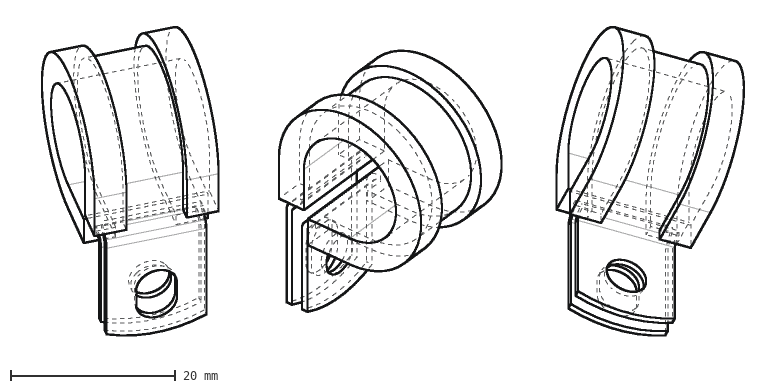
import cadquery as cq
import math

outer_radius = 11.0
bore_radius = 7.12
cushion_width = 15.75
bottom_leg_end_x = 6.53
side_leg_end_z = -6.08
groove_width = 7.65

strap_thickness = 0.85
strap_width = 12.65
strap_outer_radius = 9.5
strap_mid_radius = strap_outer_radius - strap_thickness / 2

total_height = 34.75
tab_bottom_z = outer_radius - total_height
near_tab_x = 8.25
far_tab_x = outer_radius - strap_thickness / 2
tab_end_sagitta = 1.32
hole_diameter = 5.15
far_slot_length = 7.5
hole_z = -17.45

corner_bend_radius = 1.25
jog_bend_radius = 1.0
jog_angle = math.radians(45)


def loop_solid(outer, inner, width):
    """C-shaped band centred on Y, with one leg along +X and one along -Z."""
    diagonal = math.sqrt(0.5)
    outline = (
        cq.Workplane("XZ")
        .moveTo(bottom_leg_end_x, -outer)
        .lineTo(0, -outer)
        .threePointArc((-outer * diagonal, outer * diagonal), (outer, 0))
        .lineTo(outer, side_leg_end_z)
        .lineTo(inner, side_leg_end_z)
        .lineTo(inner, 0)
        .threePointArc((-inner * diagonal, inner * diagonal), (0, -inner))
        .lineTo(bottom_leg_end_x, -inner)
        .close()
    )
    return outline.extrude(width / 2, both=True)


def make_cushion():
    body = loop_solid(outer_radius, bore_radius, cushion_width)
    groove = loop_solid(outer_radius, strap_outer_radius, groove_width)
    return body.cut(groove)


def make_strap():
    """Sweep the flat strap section up the near tab, round the loop and down the far tab."""
    bend_shift = jog_bend_radius * (1 - math.cos(jog_angle))
    bend_drop = jog_bend_radius * math.sin(jog_angle)
    straight_shift = far_tab_x - strap_mid_radius - 2 * bend_shift
    straight_drop = straight_shift / math.tan(jog_angle)
    straight_start = (strap_mid_radius + bend_shift, side_leg_end_z - bend_drop)
    straight_end = (far_tab_x - bend_shift, straight_start[1] - straight_drop)
    jog_end = (far_tab_x, straight_end[1] - bend_drop)

    centreline = (
        cq.Workplane("XZ")
        .moveTo(near_tab_x, tab_bottom_z)
        .lineTo(near_tab_x, -strap_mid_radius - corner_bend_radius)
        .tangentArcPoint((near_tab_x - corner_bend_radius, -strap_mid_radius), relative=False)
        .lineTo(0, -strap_mid_radius)
        .tangentArcPoint((strap_mid_radius, 0), relative=False)
        .lineTo(strap_mid_radius, side_leg_end_z)
        .tangentArcPoint(straight_start, relative=False)
        .lineTo(*straight_end)
        .tangentArcPoint(jog_end, relative=False)
        .lineTo(far_tab_x, tab_bottom_z)
    )
    section = cq.Workplane("XY", origin=(near_tab_x, 0, tab_bottom_z)).rect(strap_thickness, strap_width)
    return section.sweep(centreline)


def trim_tabs(strap):
    """Round the lower ends of both tabs and cut a round hole in the near one and a slot in the far one."""
    half_width = strap_width / 2
    corner_z = tab_bottom_z + tab_end_sagitta
    end_waste = (
        cq.Workplane("YZ")
        .moveTo(-half_width, corner_z)
        .threePointArc((0, tab_bottom_z), (half_width, corner_z))
        .lineTo(half_width, tab_bottom_z)
        .lineTo(-half_width, tab_bottom_z)
        .close()
        .extrude(outer_radius)
    )
    mid_gap_x = (near_tab_x + far_tab_x) / 2
    hole_plane = cq.Workplane("YZ").center(0, hole_z)
    near_hole = hole_plane.circle(hole_diameter / 2).extrude(mid_gap_x)
    far_slot = (
        hole_plane.workplane(offset=mid_gap_x)
        .slot2D(far_slot_length, hole_diameter, 90)
        .extrude(outer_radius - mid_gap_x)
    )
    return strap.cut(end_waste).cut(near_hole).cut(far_slot)


result = make_cushion().union(trim_tabs(make_strap()))